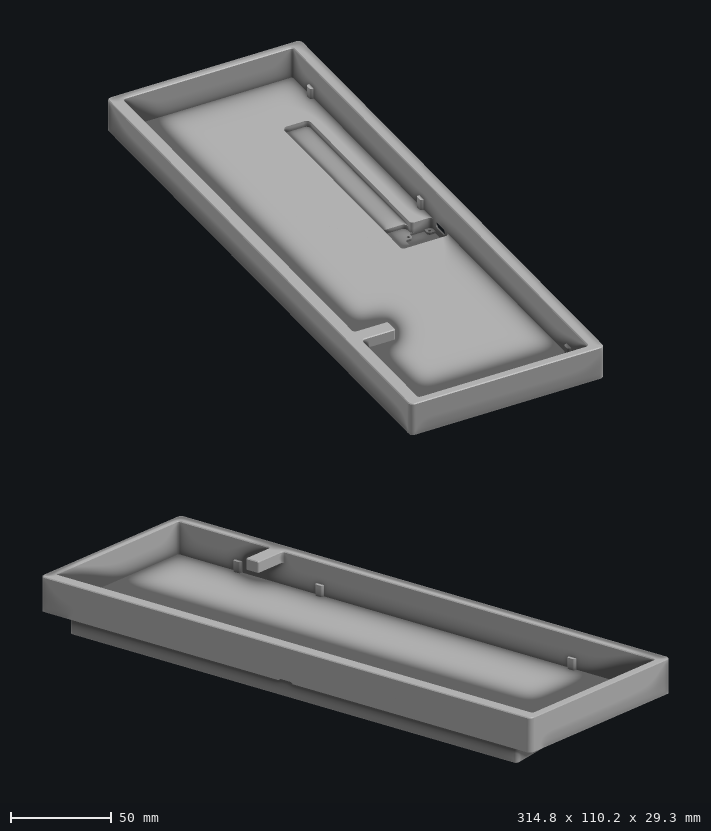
import cadquery as cq
import math

LENGTH = 314.8
WIDTH = 110.2
TOTAL_HEIGHT = 29.3
TRAY_HEIGHT = 18.5
CORNER_RADIUS = 2.8
RIM_CHAMFER = 0.47
END_RIM = 4.0
SIDE_RIM = 6.5
END_WALL = END_RIM + RIM_CHAMFER
SIDE_WALL = SIDE_RIM + RIM_CHAMFER
FLOOR_Z = 1.0
CAVITY_RADIUS = 1.3

FOOT_DROP = TOTAL_HEIGHT - TRAY_HEIGHT
FOOT_LENGTH = 287.0
FOOT_BACK_Y = 48.8
FOOT_FRONT_Y = -51.5
FOOT_RADIUS = 2.0
FOOT_CHAMFER = 0.3
FOOT_RUN = FOOT_BACK_Y - FOOT_FRONT_Y
FOOT_SLOPE = math.atan2(FOOT_DROP, FOOT_RUN - FOOT_CHAMFER)

PAD_DIAMETER = 8.2
PAD_DEPTH = 0.5
PAD_INSET = 9.5

POST_WIDTH = 4.7
POST_REACH = 2.0
POST_HEIGHT = 6.0
POST_RADIUS = 1.3
BACK_POSTS_X = (-133.0, -19.2, 133.0)
FRONT_POSTS_X = (-100.0, 61.7, 114.3)

TAB_LEFT_X = 86.0
TAB_WIDTH = 8.2
TAB_REACH = 19.2
TAB_THICKNESS = 6.0
TAB_RADIUS = 1.0
TAB_ROOT_RADIUS = 1.5

BOARD_WIDTH = 18.3
CHANNEL_LEFT_X = -115.2
CHANNEL_BACK_Y = 36.5
CHANNEL_FRONT_Y = 21.5
CHANNEL_DEPTH = 3.5
POCKET_LEFT_X = -14.8
POCKET_DEPTH = 6.0
CHANNEL_RADIUS = 2.5
BOARD_RADIUS = 2.0
BEND_RADIUS = 1.5
CLEARANCE_DEPTH = 7.2
CLEARANCE_FRONT_Y = 31.0
NECK_RADIUS = 1.3
SEAT_WIDTH = 4.0
SEAT_BACK_DEPTH = 4.0
SEAT_FRONT_Y = 35.5
SEAT_RADIUS = 2.0
SCREW_DIAMETER = 1.6
SCREW_DEPTH = 2.0
SCREW_X = 7.0
SCREW_ROWS_Y = (33.7, 45.5)

PORT_WIDTH = 9.5
PORT_HEIGHT = 3.0
PORT_TOP_Z = FLOOR_Z

CAVITY_BACK_Y = WIDTH / 2 - SIDE_WALL
CAVITY_FRONT_Y = -CAVITY_BACK_Y
BOARD_RIGHT_X = BOARD_WIDTH / 2
TAB_RIGHT_X = TAB_LEFT_X + TAB_WIDTH
SELECT_MARGIN = 0.3


def block(x0, x1, y0, y1, z0, z1):
    """Axis-aligned box between two opposite corners."""
    return cq.Workplane("XY").box(x1 - x0, y1 - y0, z1 - z0, centered=False).translate((x0, y0, z0))


def upright_edges(body, x0, x1, y0, y1):
    """Vertical edges of body that lie in the given plan area, its borders included."""
    area = cq.selectors.BoxSelector(
        (x0 - SELECT_MARGIN, y0 - SELECT_MARGIN, -TOTAL_HEIGHT),
        (x1 + SELECT_MARGIN, y1 + SELECT_MARGIN, TOTAL_HEIGHT),
    )
    return body.edges("|Z").edges(area)


def make_tray():
    """Outer block, broken along the rim and along the front bottom edge."""
    half_x, half_y = LENGTH / 2, WIDTH / 2
    tray = block(-half_x, half_x, -half_y, half_y, 0, TRAY_HEIGHT)
    tray = tray.edges("<Z and <Y").chamfer(RIM_CHAMFER)
    tray = tray.edges("|Z").fillet(CORNER_RADIUS)
    return tray.faces(">Z").edges().chamfer(RIM_CHAMFER)


def make_foot():
    """Wedge that starts inside the tray floor and drops towards the back."""
    back_z = -FOOT_RUN * math.tan(FOOT_SLOPE)
    profile = [(FOOT_FRONT_Y, FLOOR_Z), (FOOT_BACK_Y, FLOOR_Z), (FOOT_BACK_Y, back_z), (FOOT_FRONT_Y, 0)]
    foot = (
        cq.Workplane("YZ")
        .polyline(profile)
        .close()
        .extrude(FOOT_LENGTH / 2, both=True)
        .edges("|Z and >Y")
        .fillet(FOOT_RADIUS)
    )
    return foot.faces("<Z").edges("not |X").chamfer(FOOT_CHAMFER)


def make_pads():
    """Cutters for the four pad recesses, square to the sloping underside."""
    down = cq.Vector(0, -math.sin(FOOT_SLOPE), -math.cos(FOOT_SLOPE))
    pads = cq.Workplane("XY")
    for x in (PAD_INSET - FOOT_LENGTH / 2, FOOT_LENGTH / 2 - PAD_INSET):
        for y in (FOOT_FRONT_Y + PAD_INSET, FOOT_BACK_Y - PAD_INSET):
            surface_z = (FOOT_FRONT_Y - y) * math.tan(FOOT_SLOPE)
            start = cq.Vector(x, y, surface_z) - down * PAD_DEPTH
            pads = pads.add(cq.Solid.makeCylinder(PAD_DIAMETER / 2, 2 * PAD_DEPTH, start, down))
    return pads.combine()


def make_tab():
    tip_y = CAVITY_FRONT_Y + TAB_REACH
    bottom_z = TRAY_HEIGHT - TAB_THICKNESS
    tab = block(TAB_LEFT_X, TAB_RIGHT_X, CAVITY_FRONT_Y, tip_y, bottom_z, TRAY_HEIGHT)
    return tab.edges("|Z and >Y").fillet(TAB_RADIUS)


def make_cavity():
    """Open space inside the walls, leaving the tab standing with rounded roots."""
    half_x = LENGTH / 2 - END_WALL
    cavity = block(-half_x, half_x, CAVITY_FRONT_Y, CAVITY_BACK_Y, FLOOR_Z, TRAY_HEIGHT)
    cavity = cavity.edges("|Z").fillet(CAVITY_RADIUS).cut(make_tab())
    tab_roots = upright_edges(cavity, TAB_LEFT_X, TAB_RIGHT_X, CAVITY_FRONT_Y, CAVITY_FRONT_Y)
    return tab_roots.fillet(TAB_ROOT_RADIUS)


def chamfer_rim(body):
    """Break the inner edge of the rim, around the tab as well."""
    inner_rim = body.faces(">Z").val().innerWires()[0]
    return body.newObject(inner_rim.Edges()).chamfer(RIM_CHAMFER)


def make_posts():
    posts = cq.Workplane("XY")
    for side, places in ((1, BACK_POSTS_X), (-1, FRONT_POSTS_X)):
        for x in places:
            post = (
                cq.Workplane("XY")
                .box(POST_WIDTH, 2 * POST_REACH, POST_HEIGHT, centered=(True, True, False))
                .edges("|Z")
                .fillet(POST_RADIUS)
                .translate((x, side * CAVITY_BACK_Y, FLOOR_Z))
            )
            posts = posts.add(post)
    return posts.combine()


def make_channel():
    """Shallow cable channel plus the deeper pocket for the board."""
    channel_z = FLOOR_Z - CHANNEL_DEPTH
    pocket_z = FLOOR_Z - POCKET_DEPTH
    channel = block(CHANNEL_LEFT_X, 0, CHANNEL_FRONT_Y, CHANNEL_BACK_Y, channel_z, FLOOR_Z)
    channel = channel.edges("|Z and <X").fillet(CHANNEL_RADIUS)
    landing = block(POCKET_LEFT_X, BOARD_RIGHT_X, CHANNEL_FRONT_Y, CHANNEL_BACK_Y, pocket_z, FLOOR_Z)
    landing = landing.edges("|Z and <X").fillet(CHANNEL_RADIUS)
    board = block(-BOARD_RIGHT_X, BOARD_RIGHT_X, CHANNEL_FRONT_Y, CAVITY_BACK_Y, pocket_z, FLOOR_Z)
    board = board.edges("|Z and >Y").fillet(BOARD_RADIUS)
    pocket = landing.union(board).edges("|Z and >X and <Y").fillet(BEND_RADIUS)
    pocket = pocket.union(channel)
    bend = upright_edges(pocket, -BOARD_RIGHT_X, -BOARD_RIGHT_X, CHANNEL_BACK_Y, CHANNEL_BACK_Y)
    return bend.fillet(BEND_RADIUS)


def make_clearance():
    """Recess below the board that leaves a screw seat standing in each corner."""
    bottom_z = FLOOR_Z - CLEARANCE_DEPTH
    neck_x = BOARD_RIGHT_X - SEAT_WIDTH
    seat_back_y = CAVITY_BACK_Y - SEAT_BACK_DEPTH
    neck = block(-neck_x, neck_x, CLEARANCE_FRONT_Y, CAVITY_BACK_Y, bottom_z, FLOOR_Z)
    middle = block(-BOARD_RIGHT_X, BOARD_RIGHT_X, SEAT_FRONT_Y, seat_back_y, bottom_z, FLOOR_Z)
    recess = neck.union(middle).edges("|Z and <Y").fillet(NECK_RADIUS)
    return upright_edges(recess, -neck_x, neck_x, SEAT_FRONT_Y, seat_back_y).fillet(SEAT_RADIUS)


def make_screw_holes():
    places = [(x, y) for x in (-SCREW_X, SCREW_X) for y in SCREW_ROWS_Y]
    return (
        cq.Workplane("XY", origin=(0, 0, FLOOR_Z - POCKET_DEPTH - SCREW_DEPTH))
        .pushPoints(places)
        .circle(SCREW_DIAMETER / 2)
        .extrude(SCREW_DEPTH)
    )


def make_port():
    return (
        cq.Workplane("XZ", origin=(0, WIDTH / 2, PORT_TOP_Z - PORT_HEIGHT / 2))
        .slot2D(PORT_WIDTH, PORT_HEIGHT)
        .extrude(SIDE_WALL + BOARD_RADIUS)
    )


shell = chamfer_rim(make_tray().cut(make_cavity()))
result = (
    shell
    .union(make_foot())
    .cut(make_channel())
    .cut(make_clearance())
    .cut(make_screw_holes())
    .cut(make_port())
    .cut(make_pads())
    .union(make_posts())
)